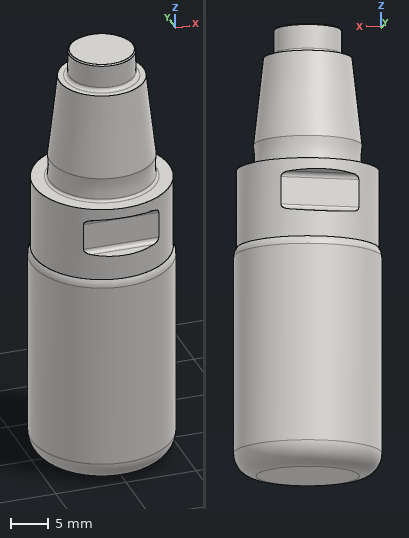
import cadquery as cq
import math

total_height = 61.2
barrel_shoulder_z = 30.0
barrel_top_z = 31.1
collar_top_z = 41.8
taper_bottom_z = 45.3
taper_top_z = 57.2

barrel_radius = 20.0 / 2
collar_radius = 19.3 / 2
neck_radius = 7.35
waist_radius = 7.2
taper_top_radius = 6.0
plug_radius = 9.2 / 2

base_round = 3.05
neck_fillet = 0.35
plug_fillet = 0.55
plug_chamfer = 0.2

flat_distance = 8.0
flat_center_z = 37.45
flat_height = 4.9
flat_wall_angle = 15.0
flat_corner_radius = 0.75

neck_base_z = collar_top_z + neck_fillet
plug_base_z = taper_top_z + plug_fillet
arc_diagonal = math.sqrt(0.5)


def make_barrel():
    """Lower cylinder with a rounded base and a convex rounded shoulder."""
    shoulder_height = barrel_top_z - barrel_shoulder_z
    shoulder_inset = barrel_radius - collar_radius
    shoulder_round = (shoulder_height**2 + shoulder_inset**2) / (2 * shoulder_inset)
    half_height = shoulder_height / 2
    arc_inset = shoulder_round - math.sqrt(shoulder_round**2 - half_height**2)
    profile = (
        cq.Workplane("XZ")
        .lineTo(barrel_radius, 0)
        .lineTo(barrel_radius, barrel_shoulder_z)
        .threePointArc(
            (barrel_radius - arc_inset, barrel_shoulder_z + half_height),
            (collar_radius, barrel_top_z),
        )
        .lineTo(0, barrel_top_z)
        .close()
    )
    barrel = profile.revolve(360, (0, 0), (0, 1))
    return barrel.faces("<Z").edges().fillet(base_round)


def make_head_blank():
    """Collar, waisted neck, taper and end plug turned as one piece."""
    neck_arc_inset = neck_fillet * (1 - arc_diagonal)
    plug_arc_inset = plug_fillet * (1 - arc_diagonal)
    profile = (
        cq.Workplane("XZ")
        .moveTo(0, barrel_top_z)
        .lineTo(collar_radius, barrel_top_z)
        .lineTo(collar_radius, collar_top_z)
        .lineTo(neck_radius + neck_fillet, collar_top_z)
        .threePointArc(
            (neck_radius + neck_arc_inset, collar_top_z + neck_arc_inset),
            (neck_radius, neck_base_z),
        )
        .threePointArc(
            (waist_radius, (neck_base_z + taper_bottom_z) / 2),
            (neck_radius, taper_bottom_z),
        )
        .lineTo(taper_top_radius, taper_top_z)
        .lineTo(plug_radius + plug_fillet, taper_top_z)
        .threePointArc(
            (plug_radius + plug_arc_inset, taper_top_z + plug_arc_inset),
            (plug_radius, plug_base_z),
        )
        .lineTo(plug_radius, total_height)
        .lineTo(0, total_height)
        .close()
    )
    head = profile.revolve(360, (0, 0), (0, 1))
    return head.faces(">Z").edges().chamfer(plug_chamfer)


def make_flat_cutter(side):
    """Flared slot cutter for one wrench flat; side is -1 (front) or 1 (back)."""
    cutter_depth = barrel_radius - flat_distance
    flare = cutter_depth * math.tan(math.radians(flat_wall_angle))
    half_inner = flat_height / 2
    half_outer = half_inner + flare
    cutter = (
        cq.Workplane("YZ")
        .polyline([
            (side * flat_distance, flat_center_z - half_inner),
            (side * barrel_radius, flat_center_z - half_outer),
            (side * barrel_radius, flat_center_z + half_outer),
            (side * flat_distance, flat_center_z + half_inner),
        ])
        .close()
        .extrude(barrel_radius, both=True)
    )
    inner_face = "<Y" if side > 0 else ">Y"
    return cutter.faces(inner_face).edges("|X").fillet(flat_corner_radius)


def make_head():
    """Head with two opposite wrench flats in its collar."""
    head = make_head_blank()
    for side in (-1, 1):
        head = head.cut(make_flat_cutter(side))
    return head


barrel = make_barrel()
head = make_head()

result = cq.Compound.makeCompound([barrel.solids().val(), head.solids().val()])